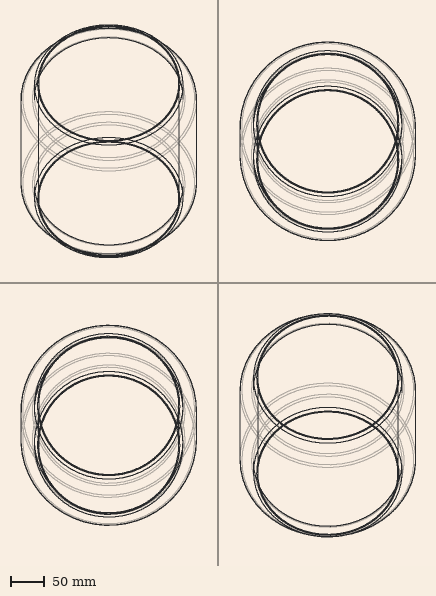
import cadquery as cq

length = 290.0
body_diameter = 259.0
body_length = 214.5
collar_diameter = 219.0
bore_diameter = 206.5

shoulder_radius = 3.0
bevel_width = 4.5
bevel_height = 3.2


def make_body():
    """Thick central body with a thinner collar standing out of each end."""
    body = cq.Workplane("XY").cylinder(body_length, body_diameter / 2)
    collars = cq.Workplane("XY").cylinder(length, collar_diameter / 2)
    return body.union(collars)


def round_shoulders(solid):
    """Round the outer edge of each shoulder and fillet the collar root inside it."""
    shoulders = solid.faces("|Z").faces(">Z[-2] or <Z[-2]")
    return shoulders.edges().fillet(shoulder_radius)


def bevel_ends(solid):
    """Bevel the outer rim of both collars, leaving a narrow flat end face."""
    rims = solid.faces(">Z or <Z").edges()
    return rims.chamfer(bevel_height, bevel_width)


def cut_bore(solid):
    """Open the straight bore through the whole length."""
    bore = cq.Workplane("XY").cylinder(length, bore_diameter / 2)
    return solid.cut(bore)


result = cut_bore(bevel_ends(round_shoulders(make_body())))